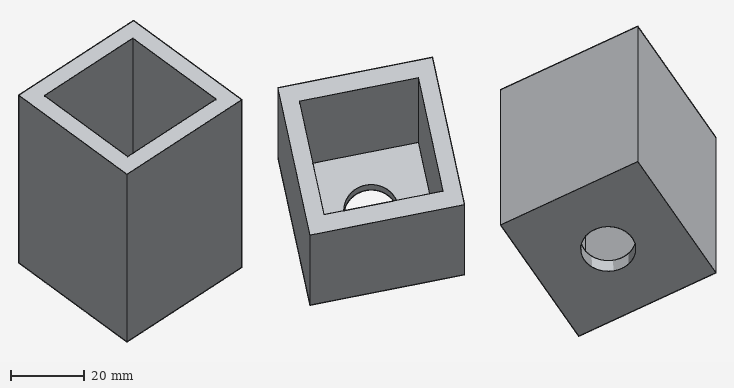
import cadquery as cq

side = 43.0
height = 63.0
wall = 5.0
floor_thickness = wall
hole_diameter = 15.0

cavity_side = side - 2 * wall

block = cq.Workplane("XY").box(side, side, height, centered=(True, True, False))

cavity = (
    cq.Workplane("XY")
    .workplane(offset=floor_thickness)
    .rect(cavity_side, cavity_side)
    .extrude(height - floor_thickness)
)

floor_hole = cq.Workplane("XY").circle(hole_diameter / 2).extrude(floor_thickness)

result = block.cut(cavity).cut(floor_hole)